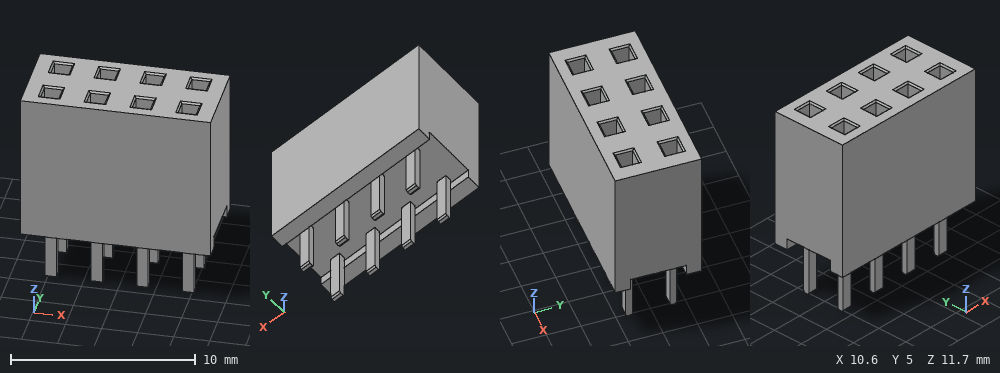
import cadquery as cq

PITCH = 2.54
COLUMNS = 4
ROWS = 2

END_MARGIN = 0.2
HOUSING_LENGTH = COLUMNS * PITCH + 2 * END_MARGIN
HOUSING_WIDTH = 5.0
HOUSING_HEIGHT = 8.5

CHANNEL_WIDTH = 3.2
CHANNEL_HEIGHT = 0.7

SOCKET_SIZE = 1.0
SOCKET_BEVEL = 0.1
SOCKET_DEPTH = 6.0

PIN_WIDTH = 0.64
PIN_THICKNESS = 0.4
PIN_REACH = 3.2
PIN_TIP_BEVEL = 0.1


def at_contacts(workplane):
    """Select every contact position of the grid."""
    return workplane.rarray(PITCH, PITCH, COLUMNS, ROWS)


def make_housing():
    """Block with an open-ended channel on its underside."""
    bottom_up = (True, True, False)
    block = cq.Workplane("XY").box(
        HOUSING_LENGTH, HOUSING_WIDTH, HOUSING_HEIGHT, centered=bottom_up
    )
    channel = cq.Workplane("XY").box(
        HOUSING_LENGTH, CHANNEL_WIDTH, CHANNEL_HEIGHT, centered=bottom_up
    )
    return block.cut(channel)


def make_sockets():
    """Cutters for the blind sockets and their tapered mouths."""
    mouth_size = SOCKET_SIZE + 2 * SOCKET_BEVEL
    top = cq.Workplane("XY").workplane(offset=HOUSING_HEIGHT)
    shafts = at_contacts(top).rect(SOCKET_SIZE, SOCKET_SIZE).extrude(-SOCKET_DEPTH)
    mouth = (
        cq.Workplane("XY")
        .rect(mouth_size, mouth_size)
        .workplane(offset=-SOCKET_BEVEL)
        .rect(SOCKET_SIZE, SOCKET_SIZE)
        .loft(ruled=True)
        .val()
    )
    mouths = at_contacts(top).eachpoint(lambda place: mouth.located(place))
    return shafts.union(mouths)


def make_pins():
    """Pins from the channel roof down, bevelled on both broad faces at the tip."""
    pins = (
        at_contacts(cq.Workplane("XY").workplane(offset=-PIN_REACH))
        .rect(PIN_WIDTH, PIN_THICKNESS)
        .extrude(PIN_REACH + CHANNEL_HEIGHT)
    )
    return pins.faces("<Z").edges("|X").chamfer(PIN_TIP_BEVEL)


result = make_housing().cut(make_sockets()).union(make_pins())